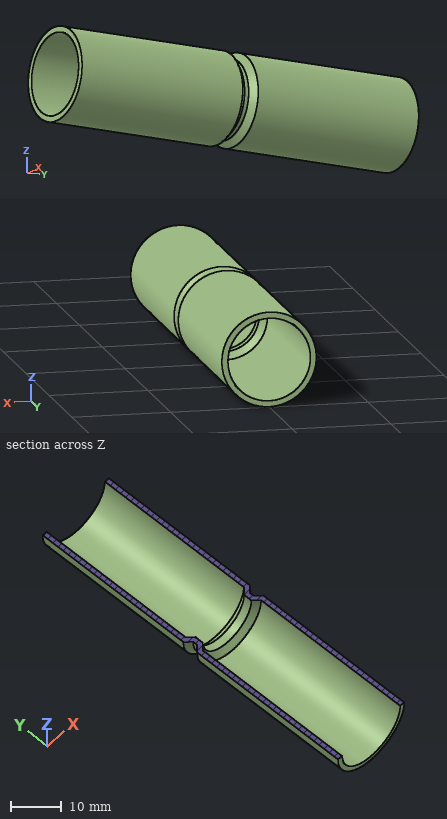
import cadquery as cq
import math

length = 80.0
outer_diameter = 19.2
bore_diameter = 16.7
groove_diameter = 16.5
groove_floor_width = 1.0
flank_angle = 45.0

outer_radius = outer_diameter / 2
bore_radius = bore_diameter / 2
groove_radius = groove_diameter / 2
wall = outer_radius - bore_radius
groove_depth = outer_radius - groove_radius
flank_length = groove_depth / math.tan(math.radians(flank_angle))

ridge_radius = groove_radius - wall
ridge_crest_width = groove_floor_width + 2 * wall * math.tan(math.radians(flank_angle / 2))


def turned_body(radius, waist_radius, waist_width):
    """Solid of revolution about Y, necked down to a waist at mid-length."""
    half_length = length / 2
    half_waist = waist_width / 2
    shoulder = half_waist + flank_length
    profile = [
        (0, -half_length),
        (radius, -half_length),
        (radius, -shoulder),
        (waist_radius, -half_waist),
        (waist_radius, half_waist),
        (radius, shoulder),
        (radius, half_length),
        (0, half_length),
    ]
    return cq.Workplane("XY").polyline(profile).close().revolve(360, (0, 0, 0), (0, 1, 0))


outside = turned_body(outer_radius, groove_radius, groove_floor_width)
bore = turned_body(bore_radius, ridge_radius, ridge_crest_width)

result = outside.cut(bore)